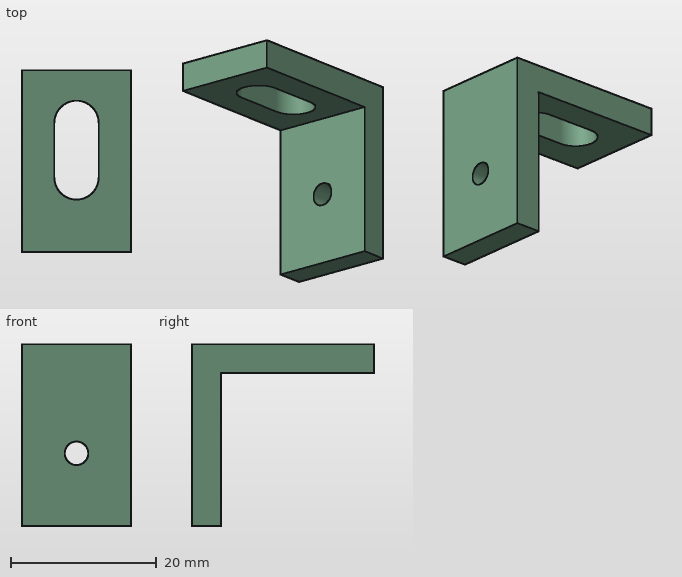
import cadquery as cq

width = 15.0
leg_length = 25.0
thickness = 4.0

slot_width = 6.05
slot_straight_length = 7.5
slot_length = slot_straight_length + slot_width
slot_center_from_front = 14.0

hole_diameter = 3.2
hole_height = 10.0


def angle_body():
    """L-shaped body, centred on X, front face at Y = 0, bottom at Z = 0."""
    vertical_leg = cq.Workplane("XY").box(width, thickness, leg_length, centered=(True, False, False))
    horizontal_leg = (
        cq.Workplane("XY")
        .workplane(offset=leg_length - thickness)
        .box(width, leg_length, thickness, centered=(True, False, False))
    )
    return vertical_leg.union(horizontal_leg)


def adjustment_slot():
    """Cutter for the round-ended slot in the horizontal leg."""
    return (
        cq.Workplane("XY")
        .workplane(offset=leg_length - thickness)
        .center(0, slot_center_from_front)
        .slot2D(slot_length, slot_width, angle=90)
        .extrude(thickness)
    )


def mounting_hole():
    """Cutter for the hole in the vertical leg, running along +Y."""
    return (
        cq.Workplane("XZ")
        .center(0, hole_height)
        .circle(hole_diameter / 2)
        .extrude(-thickness)
    )


result = angle_body().cut(adjustment_slot()).cut(mounting_hole())